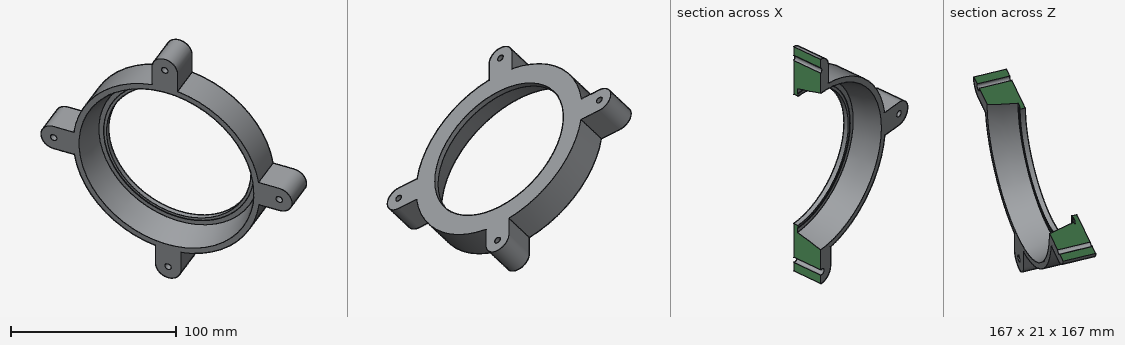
import cadquery as cq
import math

depth = 21.0
outer_radius = 62.0
mouth_radius = 58.1
taper_angle = 15.0
floor_thickness = 3.0

rim_radius = 50.0
rim_height = 0.4
opening_radius = 48.0

lug_count = 4
lug_radius = 8.5
lug_hole_distance = 75.0
lug_offset = 1.1
lug_hole_diameter = 4.2


def make_ring():
    """Revolve the wall, the rear flange and its rim about the Y axis."""
    floor_depth = depth - floor_thickness
    floor_radius = mouth_radius - floor_depth * math.tan(math.radians(taper_angle))
    rim_depth = floor_depth - rim_height
    section = [
        (outer_radius, 0),
        (mouth_radius, 0),
        (floor_radius, floor_depth),
        (rim_radius, floor_depth),
        (rim_radius, rim_depth),
        (opening_radius, rim_depth),
        (opening_radius, depth),
        (outer_radius, depth),
    ]
    return cq.Workplane("XY").polyline(section).close().revolve(360, (0, 0), (0, 1))


def make_lug():
    """Round-ended lug on the +X side, rooted inside the ring wall."""
    root = (mouth_radius + outer_radius) / 2
    low_edge = lug_offset - lug_radius
    high_edge = lug_offset + lug_radius
    tip = lug_hole_distance + lug_radius
    body = (
        cq.Workplane("XZ")
        .moveTo(root, low_edge)
        .lineTo(lug_hole_distance, low_edge)
        .threePointArc((tip, lug_offset), (lug_hole_distance, high_edge))
        .lineTo(root, high_edge)
        .close()
        .extrude(-depth)
    )
    hole = (
        cq.Workplane("XZ")
        .center(lug_hole_distance, lug_offset)
        .circle(lug_hole_diameter / 2)
        .extrude(-depth)
    )
    return body.cut(hole)


result = make_ring()
lug = make_lug()
for index in range(lug_count):
    angle = index * 360 / lug_count
    result = result.union(lug.rotate((0, 0, 0), (0, 1, 0), angle))